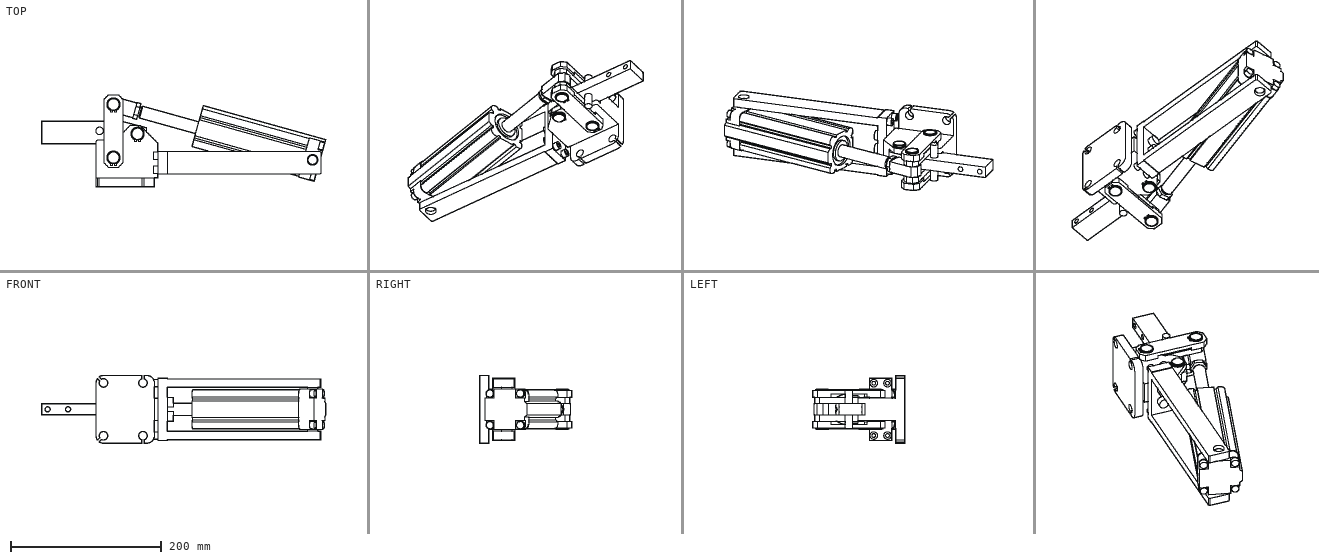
import cadquery as cq
import math


link_x = 23.2
lower_pivot = (link_x, 38.8)
upper_pivot = (link_x, 109.2)
arm_pivot = (55.2, 70.3)
trunnion_point = (287.0, 35.8)

plate_length = 77.5
plate_width = 90.0
plate_thickness = 12.0
plate_corner = 10.0
plate_hole_diameter = 11.0
plate_hole_x = (10.0, 62.3)
plate_hole_z = 35.0
plate_slot_width = 3.0

base_length = 82.0
base_width = 30.0
base_shoulder_y = 62.0
base_top_y = 81.0
base_top_x = (45.0, 59.0)
base_edge_radius = 3.0
arm_slot_end_x = 70.0
arm_slot_floor_y = 53.0

arm_thickness = 15.0
arm_tip_x = -71.9
arm_bottom_y = 57.0
arm_top_y = 87.0
arm_bend_x = 34.0
arm_tail_x = 67.3
arm_tail_y = 78.4
arm_hole_diameter = 6.5
arm_hole_x = (-64.0, -36.9)
stop_pin_diameter = 10.0
stop_pin_length = 51.0
stop_pin_centre = (4.8, 74.2)

outer_link_inner_z = 16.0
outer_link_outer_z = 25.0
outer_link_width = 25.6
outer_link_top_y = 122.0
outer_link_bottom_y = lower_pivot[1] + upper_pivot[1] - outer_link_top_y
link_chamfer = 6.2
relief_length = 48.0
relief_depth = 4.0
inner_link_width = 20.2
inner_link_bottom_y = 55.0

pin_diameter = 16.0
pin_chamfer = 0.5
link_pin_end_z = 27.0
arm_pin_end_z = 18.5
clip_diameter = 17.6
clip_thickness = 1.2
clip_gap = 3.0
clip_lug_width = 2.5
clip_lug_reach = 10.2

frame_bottom_y = 17.0
frame_top_y = 47.0
frame_mid_y = (frame_bottom_y + frame_top_y) / 2
bridge_thickness = 12.5
bridge_width = 83.0
rail_inner_z = 29.0
rail_outer_z = 40.5
rail_end_x = 298.4
rail_end_chamfer = 1.5
trunnion_diameter = 14.0

side_screw_diameter = 10.0
side_screw_head = 6.0
side_screw_socket = 5.0
side_screw_socket_depth = 3.0
side_screw_pitch_y = 18.2
side_screw_z = 34.7
centre_screw_diameter = 13.0
centre_screw_head = 8.0
centre_screw_z = 9.3

axis_dx = trunnion_point[0] - upper_pivot[0]
axis_dy = trunnion_point[1] - upper_pivot[1]
axis_angle = math.degrees(math.atan2(axis_dy, axis_dx))
trunnion_distance = math.hypot(axis_dx, axis_dy)

eye_width = 20.6
eye_front = -11.5
eye_end = 29.5
eye_chamfer = 6.0
nut_end = 35.0
nut_corner_diameter = 22.0
stud_diameter = 12.0
rod_start = 37.0
rod_diameter = 16.5
rod_chamfer = 1.2

barrel_start = 115.0
barrel_end = 262.0
barrel_size = 52.0
barrel_corner = 6.0
collar_diameter = 28.0
collar_recess_diameter = 40.0
collar_recess_depth = 3.0
groove_depth = 3.0
groove_inner = 11.0
groove_floor = 14.0
groove_outer = 16.5

cap_end = 283.54
cap_size = 54.0
cap_corner = 7.0
cap_notch = 12.0
cap_notch_depth = 6.5
cap_bolt_diameter = 10.0
cap_bolt_offset = 21.0
cap_bolt_end = 283.0

spine_top = 30.6
spine_root_width = 22.0
spine_top_width = 15.0
trunnion_end_z = 36.0
trunnion_chamfer = 1.0


def z_prism(outline, z_low, z_high):
    """Prism of an XY outline between two heights."""
    plane = cq.Workplane("XY").workplane(offset=z_low)
    return plane.polyline(outline).close().extrude(z_high - z_low)


def z_cylinder(centre, diameter, z_low, z_high):
    """Upright cylinder between two heights."""
    plane = cq.Workplane("XY").workplane(offset=z_low).center(*centre)
    return plane.circle(diameter / 2).extrude(z_high - z_low)


def x_cylinder(diameter, x_low, x_high, y, z):
    """Cylinder lying along X."""
    plane = cq.Workplane("YZ").workplane(offset=x_low).center(y, z)
    return plane.circle(diameter / 2).extrude(x_high - x_low)


def block(x_range, y_range, z_range):
    """Rectangular block from its ranges along X, Y and Z."""
    size = [high - low for low, high in (x_range, y_range, z_range)]
    return cq.Workplane("XY").box(*size, centered=False).translate((x_range[0], y_range[0], z_range[0]))


def mounting_plate():
    """Rounded plate whose four holes are slit open to the edge."""
    plate = block((0, plate_length), (0, plate_thickness), (-plate_width / 2, plate_width / 2))
    plate = plate.edges("|Y").fillet(plate_corner)
    half_slot = plate_slot_width / 2
    slit_length = plate_width / 2 - plate_hole_z + plate_corner
    for side in (1, -1):
        for x, angle in zip(plate_hole_x, (side * 135, side * 90)):
            slit = block((0, slit_length), (0, plate_thickness), (-half_slot, half_slot))
            slit = slit.rotate((0, 0, 0), (0, 1, 0), -angle)
            hole = cq.Workplane("XZ").circle(plate_hole_diameter / 2).extrude(-plate_thickness)
            plate = plate.cut(slit.union(hole).translate((x, 0, side * plate_hole_z)))
    return plate


def base_block():
    """Block with a raised pivot ear, slotted for the clamping arm."""
    ear_rise = base_top_y - base_shoulder_y
    rear_drop = base_length - base_top_x[1]
    outline = [
        (0, plate_thickness),
        (0, base_shoulder_y),
        (base_top_x[0] - ear_rise, base_shoulder_y),
        (base_top_x[0], base_top_y),
        (base_top_x[1], base_top_y),
        (base_length, base_top_y - rear_drop),
        (base_length, plate_thickness),
    ]
    base = z_prism(outline, -base_width / 2, base_width / 2)
    front_top_corner = cq.selectors.NearestToPointSelector((0, base_shoulder_y, 0))
    base = base.edges("|Z").edges(front_top_corner).fillet(base_edge_radius)
    half_slot = arm_thickness / 2
    return base.cut(block((0, arm_slot_end_x), (arm_slot_floor_y, base_top_y), (-half_slot, half_slot)))


def clamping_arm():
    """Drilled bar with a tapered tail and a cross stop pin."""
    outline = [
        (arm_tip_x, arm_bottom_y),
        (arm_tip_x, arm_top_y),
        (arm_bend_x, arm_top_y),
        (arm_tail_x, arm_tail_y),
        (arm_tail_x, arm_bottom_y),
    ]
    arm = z_prism(outline, -arm_thickness / 2, arm_thickness / 2)
    for x in arm_hole_x:
        hole = cq.Workplane("XZ").center(x, 0).circle(arm_hole_diameter / 2).extrude(-arm_top_y)
        arm = arm.cut(hole)
    stop_pin_end = stop_pin_length / 2
    return arm.union(z_cylinder(stop_pin_centre, stop_pin_diameter, -stop_pin_end, stop_pin_end))


def link(width, y_range, z_range):
    """Upright flat link with all four corners chamfered."""
    bar = block((link_x - width / 2, link_x + width / 2), y_range, z_range)
    return bar.edges("|Z").chamfer(link_chamfer)


def link_pair():
    """Outer and inner link on the upper side of the symmetry plane."""
    outer = link(
        outer_link_width,
        (outer_link_bottom_y, outer_link_top_y),
        (outer_link_inner_z, outer_link_outer_z),
    )
    mid_y = (outer_link_bottom_y + outer_link_top_y) / 2
    relief = block(
        (link_x - outer_link_width / 2, link_x + outer_link_width / 2),
        (mid_y - relief_length / 2, mid_y + relief_length / 2),
        (outer_link_inner_z, outer_link_inner_z + relief_depth),
    )
    inner = link(
        inner_link_width,
        (inner_link_bottom_y, upper_pivot[1] + inner_link_width / 2),
        (arm_thickness / 2, outer_link_inner_z),
    )
    return outer.cut(relief).union(inner)


def pivot_pin(centre, end_z, seat_z):
    """Through pin with an open, two-lugged retaining clip at each end."""
    pin = z_cylinder(centre, pin_diameter, -end_z, end_z).faces("|Z").chamfer(pin_chamfer)
    clip = z_cylinder(centre, clip_diameter, seat_z, seat_z + clip_thickness)
    gap = block(
        (centre[0] - clip_gap / 2, centre[0] + clip_gap / 2),
        (centre[1] - clip_lug_reach, centre[1]),
        (seat_z, seat_z + clip_thickness),
    )
    for side in (1, -1):
        lug_x = centre[0] + side * (clip_gap + clip_lug_width) / 2
        lug = block(
            (lug_x - clip_lug_width / 2, lug_x + clip_lug_width / 2),
            (centre[1] - clip_lug_reach, centre[1] - pin_diameter / 2 + clip_thickness),
            (seat_z, seat_z + clip_thickness),
        )
        clip = clip.union(lug)
    clip = clip.cut(gap)
    return pin.union(clip).union(clip.mirror("XY"))


def cylinder_frame():
    """Bridge bolted to the base, with two rails carrying the trunnions."""
    y_range = (frame_bottom_y, frame_top_y)
    bridge_end_x = base_length + bridge_thickness
    frame = block((base_length, bridge_end_x), y_range, (-bridge_width / 2, bridge_width / 2))
    for side in (1, -1):
        z_range = sorted((side * rail_inner_z, side * rail_outer_z))
        rail = block((base_length, rail_end_x), y_range, z_range)
        rail = rail.faces(">X").edges("|Z").chamfer(rail_end_chamfer)
        bore = z_cylinder(trunnion_point, trunnion_diameter, *z_range)
        frame = frame.union(rail.cut(bore))
        frame = frame.union(
            x_cylinder(
                centre_screw_diameter, bridge_end_x, bridge_end_x + centre_screw_head,
                frame_mid_y, side * centre_screw_z,
            )
        )
        for offset in (side_screw_pitch_y / 2, -side_screw_pitch_y / 2):
            head_x = base_length - side_screw_head
            y = frame_mid_y + offset
            z = side * side_screw_z
            head = x_cylinder(side_screw_diameter, head_x, base_length, y, z)
            socket = x_cylinder(side_screw_socket, head_x, head_x + side_screw_socket_depth, y, z)
            frame = frame.union(head.cut(socket))
    return frame


def build_clamp():
    """Base, linkage, arm and cylinder frame as one body."""
    clamp = mounting_plate().union(base_block()).union(clamping_arm()).union(cylinder_frame())
    links = link_pair()
    clamp = clamp.union(links).union(links.mirror("XY"))
    for centre in (lower_pivot, upper_pivot):
        clamp = clamp.union(pivot_pin(centre, link_pin_end_z, outer_link_outer_z))
    return clamp.union(pivot_pin(arm_pivot, arm_pin_end_z, base_width / 2))


def rod_end():
    """Chamfered eye with its pin hole, lock nut, stud and piston rod."""
    half_width = eye_width / 2
    eye = block((eye_front, eye_end), (-half_width, half_width), (-arm_thickness / 2, arm_thickness / 2))
    eye = eye.faces("<X").edges("|Z").chamfer(eye_chamfer)
    eye = eye.cut(z_cylinder((0, 0), pin_diameter, -arm_thickness / 2, arm_thickness / 2))
    nut = cq.Workplane("YZ").workplane(offset=eye_end).polygon(6, nut_corner_diameter)
    nut = nut.extrude(nut_end - eye_end)
    stud = x_cylinder(stud_diameter, nut_end, rod_start, 0, 0)
    rod = x_cylinder(rod_diameter, rod_start, barrel_start, 0, 0).faces("<X").chamfer(rod_chamfer)
    return eye.union(nut).union(stud).union(rod)


def barrel():
    """Square rounded tube with two tapered grooves in each face."""
    length = barrel_end - barrel_start
    tube = cq.Workplane("YZ").workplane(offset=barrel_start).rect(barrel_size, barrel_size).extrude(length)
    tube = tube.edges("|X").fillet(barrel_corner)
    face = barrel_size / 2
    floor = face - groove_depth
    section = [(groove_inner, face), (groove_inner, floor), (groove_floor, floor), (groove_outer, face)]
    groove = cq.Workplane("YZ").workplane(offset=barrel_start).polyline(section).close().extrude(length)
    grooves = groove.union(groove.mirror("XZ"))
    for quarter in range(4):
        tube = tube.cut(grooves.rotate((0, 0, 0), (1, 0, 0), 90 * quarter))
    return tube


def collar_recess():
    """Ring-shaped recess around the rod collar in the front of the barrel."""
    ring = cq.Workplane("YZ").workplane(offset=barrel_start).circle(collar_recess_diameter / 2)
    return ring.circle(collar_diameter / 2).extrude(collar_recess_depth)


def end_cap():
    """Rear cap with corner notches, bolt heads and the two trunnions."""
    cap = cq.Workplane("YZ").workplane(offset=barrel_end).rect(cap_size, cap_size)
    cap = cap.extrude(cap_end - barrel_end)
    cap = cap.edges("|X").fillet(cap_corner)
    notch_start = cap_end - cap_notch_depth
    notch_centre = (cap_size - cap_notch) / 2
    corners = [(y, z) for y in (1, -1) for z in (1, -1)]
    for y, z in corners:
        notch = cq.Workplane("YZ").workplane(offset=notch_start).center(y * notch_centre, z * notch_centre)
        cap = cap.cut(notch.rect(cap_notch, cap_notch).extrude(cap_notch_depth))
        bolt = x_cylinder(
            cap_bolt_diameter, notch_start, cap_bolt_end, y * cap_bolt_offset, z * cap_bolt_offset
        )
        cap = cap.union(bolt)
    trunnions = z_cylinder((trunnion_distance, 0), trunnion_diameter, -trunnion_end_z, trunnion_end_z)
    return cap.union(trunnions.faces("|Z").chamfer(trunnion_chamfer))


def spine():
    """Tapered rail along the back of the barrel and cap."""
    section = [
        (0, -spine_root_width / 2),
        (barrel_size / 2, -spine_root_width / 2),
        (spine_top, -spine_top_width / 2),
        (spine_top, spine_top_width / 2),
        (barrel_size / 2, spine_root_width / 2),
        (0, spine_root_width / 2),
    ]
    plane = cq.Workplane("YZ").workplane(offset=barrel_start)
    return plane.polyline(section).close().extrude(cap_end - barrel_start)


def build_cylinder():
    """Pneumatic cylinder, swung onto the line from upper pivot to trunnions."""
    body = barrel().union(spine()).cut(collar_recess()).union(end_cap()).union(rod_end())
    body = body.rotate((0, 0, 0), (0, 0, 1), axis_angle)
    return body.translate((*upper_pivot, 0))


clamp = build_clamp()
cylinder = build_cylinder()

result = cq.Compound.makeCompound([clamp.solids().val(), cylinder.solids().val()])